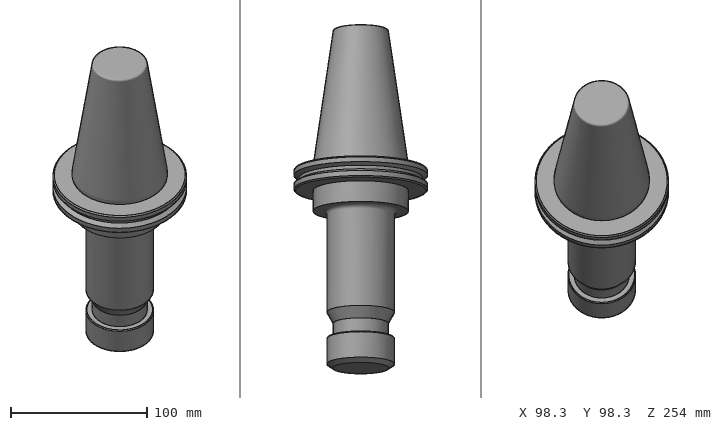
import cadquery as cq
import math

total_height = 254.0
gauge_z = 152.5
flange_top_z = 149.4
flange_bottom_z = 133.4
collar_bottom_z = 117.9
body_bottom_z = 42.0
neck_top_z = 33.5
nut_top_z = 22.9

gauge_radius = 35.0
taper_per_side = 7 / 24 / 2
tip_fillet = 1.5

flange_radius = 98.3 / 2
flange_chamfer = 1.0
groove_floor_radius = 91.2 / 2
groove_center_z = 141.5
groove_floor_width = 2.5
groove_wall_angle = 30.0

body_radius = 25.0
body_root_fillet = 3.0
neck_radius = 20.3
nut_top_chamfer = 0.8
nut_nose_radius = 20.5
nut_nose_height = 3.0


def make_holder():
    """Revolve the stepped profile of the holder about Z."""
    tip_radius = gauge_radius - taper_per_side * (total_height - gauge_z)
    return (
        cq.Workplane("XZ")
        .moveTo(0, 0)
        .lineTo(nut_nose_radius, 0)
        .lineTo(body_radius, nut_nose_height)
        .lineTo(body_radius, nut_top_z - nut_top_chamfer)
        .lineTo(body_radius - nut_top_chamfer, nut_top_z)
        .lineTo(neck_radius, nut_top_z)
        .lineTo(neck_radius, neck_top_z)
        .lineTo(body_radius, body_bottom_z)
        .lineTo(body_radius, collar_bottom_z - body_root_fillet)
        .radiusArc((body_radius + body_root_fillet, collar_bottom_z), body_root_fillet)
        .lineTo(gauge_radius, collar_bottom_z)
        .lineTo(gauge_radius, flange_bottom_z)
        .lineTo(flange_radius - flange_chamfer, flange_bottom_z)
        .lineTo(flange_radius, flange_bottom_z + flange_chamfer)
        .lineTo(flange_radius, flange_top_z - flange_chamfer)
        .lineTo(flange_radius - flange_chamfer, flange_top_z)
        .lineTo(gauge_radius, flange_top_z)
        .lineTo(gauge_radius, gauge_z)
        .lineTo(tip_radius, total_height)
        .lineTo(0, total_height)
        .close()
        .revolve(360, (0, 0, 0), (0, 1, 0))
        .faces(">Z")
        .edges()
        .fillet(tip_fillet)
    )


def make_gripper_groove():
    """Ring with a trapezoidal section that widens toward the flange rim."""
    depth = flange_radius - groove_floor_radius
    floor_half = groove_floor_width / 2
    mouth_half = floor_half + depth * math.tan(math.radians(groove_wall_angle))
    return (
        cq.Workplane("XZ")
        .moveTo(groove_floor_radius, groove_center_z - floor_half)
        .lineTo(flange_radius, groove_center_z - mouth_half)
        .lineTo(flange_radius, groove_center_z + mouth_half)
        .lineTo(groove_floor_radius, groove_center_z + floor_half)
        .close()
        .revolve(360, (0, 0, 0), (0, 1, 0))
    )


result = make_holder().cut(make_gripper_groove())